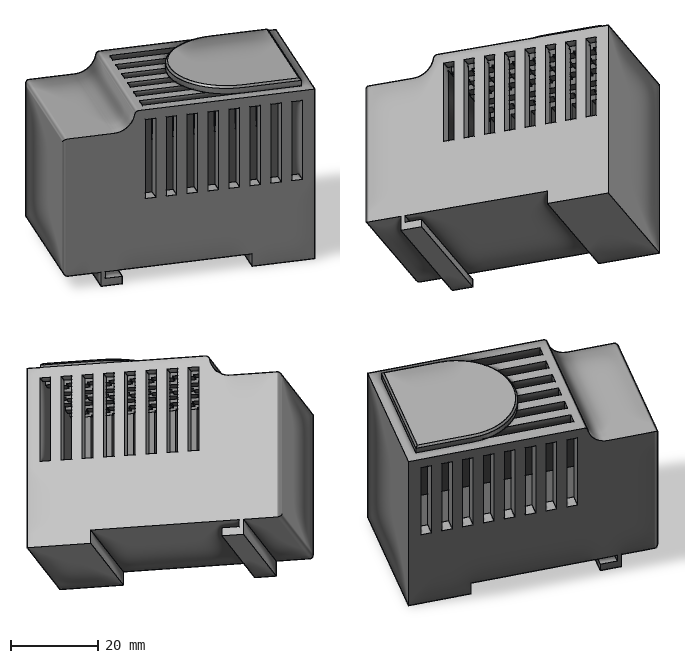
import cadquery as cq
import math

width = 33.0
depth = 60.0
total_height = 45.5
cap_height = 1.85
roof_z = total_height - cap_height
wall = 3.0

foot_z = 0.4
foot_length = 15.0
floor_z = 3.6
clip_front = 8.95
clip_stem = 1.0
clip_length = 5.1
clip_lip = 1.9

step_length = 12.0
cove_radius = 5.05
step_z = roof_z - cove_radius
edge_radius = 1.0

side_slot_count = 8
roof_slot_count = 6
slot_row_length = 37.5
slot_width = slot_row_length / (2 * side_slot_count - 1)
slot_pitch = 2 * slot_width
slot_roof_gap = 2.5
side_slot_height = 20.1

cap_margin = 2.5
cap_chamfer = 0.5
cap_taper_length = 0.35
cap_taper_inset = 0.01

cos_45 = math.sqrt(0.5)
slot_row_back = depth - wall
slot_row_front = slot_row_back - slot_row_length


def box(x, y, z, size_x, size_y, size_z):
    """Box given by its lowest corner and its three sizes."""
    return cq.Workplane("XY").box(size_x, size_y, size_z, centered=False).translate((x, y, z))


def make_shell():
    """Outer block with its cove, rear foot and rounded edges."""
    block = (
        cq.Workplane("YZ")
        .moveTo(0, floor_z)
        .lineTo(0, step_z)
        .lineTo(step_length, step_z)
        .threePointArc(
            (step_length + cove_radius * cos_45, roof_z - cove_radius * cos_45),
            (step_length + cove_radius, roof_z),
        )
        .lineTo(depth, roof_z)
        .lineTo(depth, foot_z)
        .lineTo(depth - foot_length, foot_z)
        .lineTo(depth - foot_length, floor_z)
        .close()
        .extrude(width)
    )
    cove_corner = cq.selectors.NearestToPointSelector((width / 2, step_length + cove_radius, roof_z))
    return block.edges(cove_corner).fillet(edge_radius).faces("<Y").edges().fillet(edge_radius)


def make_cavity():
    """Hollow that leaves one wall thickness, also behind the cove."""
    arc_radius = cove_radius + wall
    corner_y = step_length + math.sqrt(arc_radius**2 - wall**2)
    middle_angle = (math.radians(90) + math.asin(wall / arc_radius)) / 2
    return (
        cq.Workplane("YZ", origin=(wall, 0, 0))
        .moveTo(wall, floor_z + wall)
        .lineTo(wall, step_z - wall)
        .lineTo(step_length, step_z - wall)
        .threePointArc(
            (
                step_length + arc_radius * math.cos(middle_angle),
                roof_z - arc_radius * math.sin(middle_angle),
            ),
            (corner_y, roof_z - wall),
        )
        .lineTo(depth - wall, roof_z - wall)
        .lineTo(depth - wall, floor_z + wall)
        .close()
        .extrude(width - 2 * wall)
    )


def make_clip():
    """L-shaped rail hook hanging below the floor, pointing to the back."""
    stem = box(0, clip_front, 0, width, clip_stem, floor_z)
    lip = box(0, clip_front, 0, width, clip_length, clip_lip)
    return stem.union(lip)


def cut_side_slots(body):
    """Upright slots through both side walls."""
    slot_z = roof_z - slot_roof_gap - side_slot_height
    for i in range(side_slot_count):
        slot_y = slot_row_front + i * slot_pitch
        body = body.cut(box(0, slot_y, slot_z, width, slot_width, side_slot_height))
    return body


def cut_roof_slots(body):
    """Long slots through the roof, running from front to back."""
    for i in range(roof_slot_count):
        slot_x = wall + i * slot_pitch
        body = body.cut(box(slot_x, slot_row_front, roof_z - wall, slot_width, slot_row_length, wall))
    return body


def make_housing():
    """Hollow slotted housing with its rail clip."""
    body = make_shell().cut(make_cavity()).union(make_clip())
    return cut_roof_slots(cut_side_slots(body))


def make_cap():
    """D-shaped plate on the roof, its sides slightly tapered where they meet the round front."""
    left_x = cap_margin
    right_x = width - cap_margin
    half_width = width / 2 - cap_margin
    radius = half_width - cap_taper_inset
    back_y = depth - cap_margin
    arc_y = back_y - half_width
    taper_y = arc_y + cap_taper_length
    return (
        cq.Workplane("XY", origin=(0, 0, roof_z))
        .moveTo(left_x, back_y)
        .lineTo(left_x, taper_y)
        .lineTo(left_x + cap_taper_inset, arc_y)
        .threePointArc((width / 2, arc_y - radius), (right_x - cap_taper_inset, arc_y))
        .lineTo(right_x, taper_y)
        .lineTo(right_x, back_y)
        .close()
        .extrude(cap_height)
        .faces(">Z")
        .edges()
        .chamfer(cap_chamfer)
    )


housing = make_housing()
cap = make_cap()
result = cq.Compound.makeCompound([housing.val(), cap.val()])